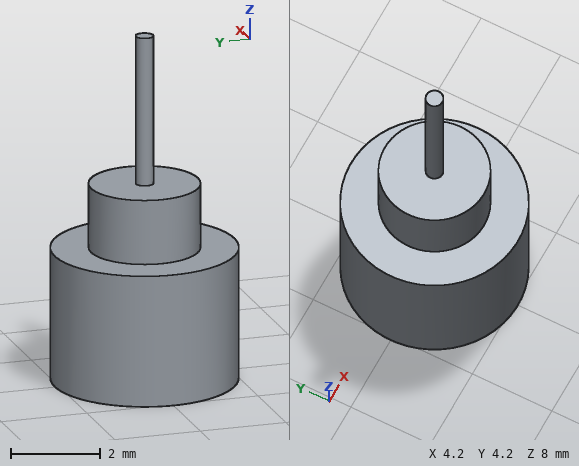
import cadquery as cq

total_height = 8.0
body_diameter = 4.2
body_height = 3.06
neck_diameter = 2.5
neck_height = 1.5
insert_diameter = 1.95
pin_diameter = 0.4

neck_top = body_height + neck_height


def cylinder(diameter, bottom, top):
    """Upright cylinder on the Z axis between two heights."""
    return cq.Workplane("XY").workplane(offset=bottom).circle(diameter / 2).extrude(top - bottom)


body = cylinder(body_diameter, 0, body_height)
neck = cylinder(neck_diameter, body_height, neck_top)
insert = cylinder(insert_diameter, body_height, neck_top)
shell = body.union(neck).cut(insert)

pin = cylinder(pin_diameter, neck_top, total_height)
result = shell.union(insert, clean=False).union(pin, clean=False)